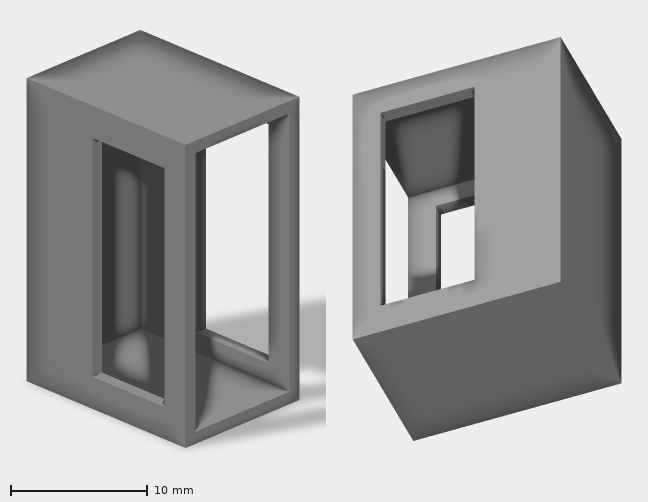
import cadquery as cq

length = 16.45
depth = 11.8
height = 24.5

wall = 1.0

window_width = 7.45
window_height = 19.3
window_rim = 2.2


def sleeve_body():
    """Box with five walls of equal thickness, open at the +X end."""
    return cq.Workplane("XY").box(length, depth, height).faces(">X").shell(-wall)


def window_cutter():
    """Block that cuts the window through both walls, centred in height."""
    window_center_x = length / 2 - window_rim - window_width / 2
    block = cq.Workplane("XY").box(window_width, 2 * depth, window_height)
    return block.translate((window_center_x, 0, 0))


result = sleeve_body().cut(window_cutter())